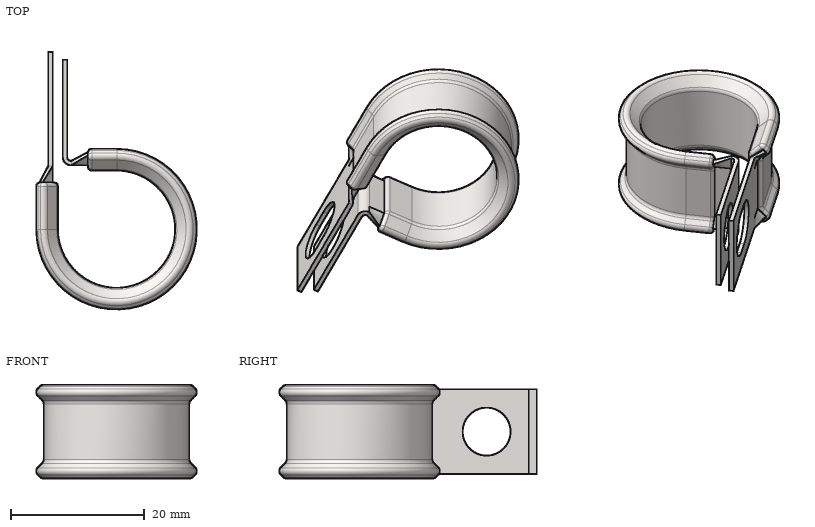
import cadquery as cq
import math

outer_radius = 12.05
overall_width = 14.1
overall_length = 38.6

wall_outer_radius = 10.92
wall_inner_radius = 8.75
flare_bend_z = 4.48
corner_round = 0.75
bend_round = 0.8
ring_angle = 270
end_fillet = 0.55

long_leg = 7.0
short_leg = 4.3

strip_inner_radius = 9.55
strip_thickness = 0.7
strip_outer_radius = strip_inner_radius + strip_thickness
strip_width = 12.7
transition_length = 2.5
embed_length = end_fillet

tab_end = overall_length - outer_radius
short_tab_end = 25.35
short_tab_bend_radius = 1.27
hole_y = 19.03
hole_diameter = 7.15
slot_length = 9.57

half_strip = strip_width / 2
flare_angle = math.pi / 4
strip_inner_bend_z = flare_bend_z + strip_thickness * math.tan(flare_angle / 2)

long_leg_plane = cq.Plane(origin=(0, 0, 0), xDir=(-1, 0, 0), normal=(0, 1, 0))
short_leg_plane = cq.Plane(origin=(0, 0, 0), xDir=(0, 1, 0), normal=(-1, 0, 0))


def cushion_section():
    """Closed section in (radius, z), symmetric about z = 0."""
    corner_loss = corner_round * (math.sqrt(2) - 1)
    tip_radius = outer_radius + corner_loss
    tip_z = flare_bend_z + tip_radius - wall_outer_radius
    top_z = overall_width / 2 + corner_loss
    top_radius = tip_radius + tip_z - top_z
    inner_bend_z = top_z - (top_radius - wall_inner_radius)

    upper = [
        (wall_outer_radius, flare_bend_z),
        (tip_radius, tip_z),
        (top_radius, top_z),
        (wall_inner_radius, inner_bend_z),
    ]
    lower = [(radius, -z) for radius, z in reversed(upper)]
    outline = upper + lower
    bends = [upper[0], upper[3], lower[0], lower[3]]
    tips = [upper[1], upper[2], lower[1], lower[2]]

    section = cq.Sketch().polygon(outline + outline[:1])
    for corners, radius in ((bends, bend_round), (tips, corner_round)):
        for corner in corners:
            nearest = cq.NearestToPointSelector((*corner, 0))
            section = section.reset().vertices(nearest).fillet(radius)
    return section.reset()


def cushion():
    """Ring and both straight legs, with rounded leg ends."""
    section = cushion_section()
    body = (
        cq.Workplane(long_leg_plane)
        .placeSketch(section)
        .revolve(ring_angle, (0, 0, 0), (0, 1, 0))
    )
    for plane, length in ((long_leg_plane, long_leg), (short_leg_plane, short_leg)):
        leg = cq.Workplane(plane).placeSketch(section).extrude(length)
        leg = leg.faces(cq.DirectionMinMaxSelector(plane.zDir)).edges().fillet(end_fillet)
        body = body.union(leg)
    return body


def strip_edge(plane, leg_length, side):
    """One strip edge between the cushion end and the flat tab; side is +1 or -1 along Z."""
    reach = (half_strip - flare_bend_z) * math.cos(flare_angle)
    step = strip_thickness * math.cos(flare_angle)
    flared = [
        (strip_outer_radius, side * flare_bend_z),
        (strip_outer_radius + reach, side * (flare_bend_z + reach)),
        (strip_outer_radius + reach - step, side * (flare_bend_z + reach + step)),
        (strip_inner_radius, side * strip_inner_bend_z),
    ]
    flat = [
        (strip_outer_radius, side * flare_bend_z),
        (strip_outer_radius, side * half_strip),
        (strip_inner_radius, side * half_strip),
        (strip_inner_radius, side * strip_inner_bend_z),
    ]
    start = cq.Workplane(plane).workplane(offset=leg_length)
    embedded = start.polyline(flared).close().extrude(-embed_length)
    twisted = (
        start.polyline(flared).close()
        .workplane(offset=transition_length)
        .polyline(flat).close()
        .loft(ruled=True)
    )
    return embedded.union(twisted)


def strip_transition(plane, leg_length):
    """Flat middle of the strip with its two twisting edges."""
    middle = (
        cq.Workplane(plane).workplane(offset=leg_length - embed_length)
        .polyline([
            (strip_outer_radius, flare_bend_z),
            (strip_inner_radius, strip_inner_bend_z),
            (strip_inner_radius, -strip_inner_bend_z),
            (strip_outer_radius, -flare_bend_z),
        ])
        .close()
        .extrude(embed_length + transition_length)
    )
    for side in (1, -1):
        middle = middle.union(strip_edge(plane, leg_length, side))
    return middle


def long_tab():
    """Straight tab with the slotted hole."""
    start = long_leg + transition_length
    tab = (
        cq.Workplane("XY", origin=(-strip_outer_radius, start, 0))
        .box(strip_thickness, tab_end - start, strip_width, centered=(False, False, True))
    )
    slot = (
        cq.Workplane("YZ", origin=(-strip_outer_radius, hole_y, 0))
        .slot2D(slot_length, hole_diameter)
        .extrude(strip_thickness)
    )
    return tab.cut(slot)


def short_tab():
    """Tab turned through 90 degrees by a round bend, with the round hole."""
    bend_x = -(short_leg + transition_length)
    outer_x = bend_x - short_tab_bend_radius
    inner_x = outer_x + strip_thickness
    bend_y = strip_inner_radius + short_tab_bend_radius
    inner_bend_radius = short_tab_bend_radius - strip_thickness
    tab = (
        cq.Workplane("XY", origin=(0, 0, -half_strip))
        .moveTo(bend_x, strip_inner_radius)
        .radiusArc((outer_x, bend_y), short_tab_bend_radius)
        .lineTo(outer_x, short_tab_end)
        .lineTo(inner_x, short_tab_end)
        .lineTo(inner_x, bend_y)
        .radiusArc((bend_x, strip_outer_radius), -inner_bend_radius)
        .close()
        .extrude(strip_width)
    )
    hole = (
        cq.Workplane("YZ", origin=(outer_x, hole_y, 0))
        .circle(hole_diameter / 2)
        .extrude(strip_thickness)
    )
    return tab.cut(hole)


result = (
    cushion()
    .union(strip_transition(long_leg_plane, long_leg))
    .union(strip_transition(short_leg_plane, short_leg))
    .union(long_tab())
    .union(short_tab())
)